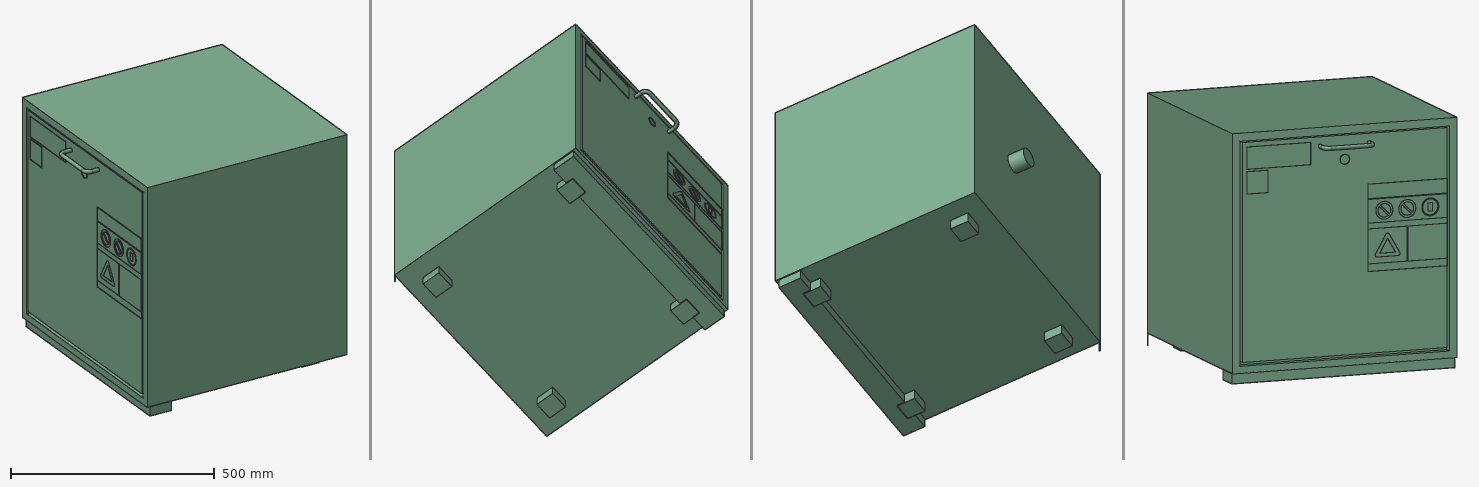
import cadquery as cq
import math


OVERALL_DEPTH = 658
WIDTH = 593.0
DEPTH = 574.0
TOTAL_HEIGHT = 631.0
FOOT_HEIGHT = 30.0
HOUSING_HEIGHT = TOTAL_HEIGHT - FOOT_HEIGHT
FRAME_SIDE = 20.5
FRAME_TOP = 20.5
FRAME_BOTTOM = 18.0

FOOT_SIDE = 50.0
FOOT_INSET = 50.0
PLINTH_HEIGHT = 27.0
PLINTH_DEPTH = 62.0
PLINTH_SIDE_INSET = 2.5
PLINTH_SETBACK = 9.0
STRIP_WIDTH = 1.0
STRIP_DEPTH = 2.5

PIPE_DIAMETER = 50.0
PIPE_LENGTH = 45.0
PIPE_X = 115.0
PIPE_Z = 295.5

DOOR_THICKNESS = 20.0
GAP_SIDE = 6.0
GAP_TOP = 3.0
GAP_BOTTOM = 9.0
LOCK_DIAMETER = 25.0
LOCK_RAISE = 2.0
LOCK_BELOW_TOP = 84.0

HANDLE_WIDTH = 139.5
HANDLE_REACH = OVERALL_DEPTH - DEPTH - PIPE_LENGTH
HANDLE_DIAMETER = 10.5
HANDLE_BEND_RADIUS = 15.0
HANDLE_BELOW_TOP = 47.5

LABEL_THICKNESS = 1.0
LABEL_INSET = 12.0
BRAND_WIDTH = 168.5
BRAND_HEIGHT = 56.0
BRAND_BELOW_TOP = 35.5
BADGE_SIDE = 56.0
BADGE_GAP = 6.0
SAFETY_WIDTH = 209.0
SAFETY_HEIGHT = 218.5
SAFETY_BELOW_TOP = 151.0

FIELD_RAISE = 0.5
FIELD_GAP = 2.0
HEADER_HEIGHT = 36.0
SIGN_ROW_HEIGHT = 59.0
TEXT_ROW_HEIGHT = 14.5
WARNING_HEIGHT = 87.5
WARNING_WIDTH = 103.0

SIGN_RAISE = 0.5
SIGN_DIAMETER = 45.0
BAN_INNER_DIAMETER = 33.5
KEEP_SHUT_INNER_DIAMETER = 40.0
SIGN_PITCH = 60.5
FIRST_SIGN_INSET = 43.0
BAN_BAR_WIDTH = 4.5
BAN_BAR_ANGLE = 45
DOOR_SYMBOL_WIDTH = 12.0
DOOR_SYMBOL_HEIGHT = 20.5
TRIANGLE_SIDE = 73.0
TRIANGLE_INNER_SIDE = 41.5
TRIANGLE_CORNER_RADIUS = 5.0
TRIANGLE_CENTER_RISE = 37.0

FRONT_Y = 0
TOP_Z = TOTAL_HEIGHT
LEFT_X = -WIDTH / 2
DOOR_WIDTH = WIDTH - 2 * (FRAME_SIDE + GAP_SIDE)
DOOR_LEFT = -DOOR_WIDTH / 2
DOOR_TOP = TOP_Z - FRAME_TOP - GAP_TOP
DOOR_BOTTOM = FOOT_HEIGHT + FRAME_BOTTOM + GAP_BOTTOM
BRAND_LEFT = DOOR_LEFT + LABEL_INSET
BRAND_TOP = TOP_Z - BRAND_BELOW_TOP
BADGE_TOP = BRAND_TOP - BRAND_HEIGHT - BADGE_GAP
SAFETY_LEFT = -DOOR_LEFT - SAFETY_WIDTH
SAFETY_TOP = TOP_Z - SAFETY_BELOW_TOP
LABEL_FACE_Y = FRONT_Y - LABEL_THICKNESS
FIELD_FACE_Y = LABEL_FACE_Y - FIELD_RAISE
SIGN_ROW_TOP = SAFETY_TOP - HEADER_HEIGHT - FIELD_GAP
WARNING_TOP = SIGN_ROW_TOP - SIGN_ROW_HEIGHT - TEXT_ROW_HEIGHT


def block(x, y, z, width, depth, height):
    """Box with its lowest corner at (x, y, z)."""
    return cq.Workplane("XY").box(width, depth, height, centered=False).translate((x, y, z))


def make_feet():
    """Four square feet, inset equally from all sides of the housing."""
    near_y = FRONT_Y + FOOT_INSET
    far_y = DEPTH - FOOT_INSET - FOOT_SIDE
    left_x = LEFT_X + FOOT_INSET
    right_x = -left_x - FOOT_SIDE
    return [
        block(x, y, 0, FOOT_SIDE, FOOT_SIDE, FOOT_HEIGHT)
        for x in (left_x, right_x)
        for y in (near_y, far_y)
    ]


def make_housing():
    housing = block(LEFT_X, FRONT_Y, FOOT_HEIGHT, WIDTH, DEPTH, HOUSING_HEIGHT)
    recess = block(
        LEFT_X + FRAME_SIDE, FRONT_Y, FOOT_HEIGHT + FRAME_BOTTOM,
        WIDTH - 2 * FRAME_SIDE, DOOR_THICKNESS, HOUSING_HEIGHT - FRAME_TOP - FRAME_BOTTOM,
    )
    plinth = block(
        LEFT_X + PLINTH_SIDE_INSET, FRONT_Y + PLINTH_SETBACK, FOOT_HEIGHT - PLINTH_HEIGHT,
        WIDTH - 2 * PLINTH_SIDE_INSET, PLINTH_DEPTH, PLINTH_HEIGHT,
    )
    strip = block(LEFT_X, DEPTH - STRIP_DEPTH, 0, STRIP_WIDTH, STRIP_DEPTH, FOOT_HEIGHT)
    pipe = (
        cq.Workplane("XZ", origin=(PIPE_X, DEPTH, PIPE_Z))
        .circle(PIPE_DIAMETER / 2)
        .extrude(-PIPE_LENGTH)
    )
    housing = housing.cut(recess).union(plinth).union(strip).union(pipe)
    for foot in make_feet():
        housing = housing.union(foot)
    return housing


def make_door():
    door = block(
        DOOR_LEFT, FRONT_Y, DOOR_BOTTOM, DOOR_WIDTH, DOOR_THICKNESS, DOOR_TOP - DOOR_BOTTOM
    )
    lock = (
        cq.Workplane("XZ", origin=(0, FRONT_Y, TOP_Z - LOCK_BELOW_TOP))
        .circle(LOCK_DIAMETER / 2)
        .extrude(LOCK_RAISE)
    )
    return door.union(lock)


def make_handle():
    leg_x = (HANDLE_WIDTH - HANDLE_DIAMETER) / 2
    bar_y = FRONT_Y - HANDLE_REACH + HANDLE_DIAMETER / 2
    bend_y = bar_y + HANDLE_BEND_RADIUS
    bar_x = leg_x - HANDLE_BEND_RADIUS
    bend_mid = HANDLE_BEND_RADIUS * math.sqrt(0.5)
    handle_z = TOP_Z - HANDLE_BELOW_TOP
    path = (
        cq.Workplane("XY", origin=(0, 0, handle_z))
        .moveTo(-leg_x, FRONT_Y)
        .lineTo(-leg_x, bend_y)
        .threePointArc((-bar_x - bend_mid, bend_y - bend_mid), (-bar_x, bar_y))
        .lineTo(bar_x, bar_y)
        .threePointArc((bar_x + bend_mid, bend_y - bend_mid), (leg_x, bend_y))
        .lineTo(leg_x, FRONT_Y)
    )
    return (
        cq.Workplane("XZ", origin=(-leg_x, FRONT_Y, handle_z))
        .circle(HANDLE_DIAMETER / 2)
        .sweep(path)
    )


def plate(left, top, width, height, back_y, thickness):
    """Upright plate whose rear face is at back_y, grown toward the front."""
    return block(left, back_y - thickness, top - height, width, thickness, height)


def sign_plane(x, z):
    """Workplane on the face of a field, facing the front."""
    return cq.Workplane("XZ", origin=(x, FIELD_FACE_Y, z))


def ring(x, z, inner_diameter):
    return (
        sign_plane(x, z)
        .circle(SIGN_DIAMETER / 2)
        .circle(inner_diameter / 2)
        .extrude(SIGN_RAISE)
    )


def ban_sign(x, z):
    bar_length = (SIGN_DIAMETER + BAN_INNER_DIAMETER) / 2
    bar = (
        sign_plane(x, z)
        .transformed(rotate=(0, 0, -BAN_BAR_ANGLE))
        .rect(bar_length, BAN_BAR_WIDTH)
        .extrude(SIGN_RAISE)
    )
    return ring(x, z, BAN_INNER_DIAMETER).union(bar)


def triangle(x, z, side):
    """Upright equilateral prism centred on (x, z)."""
    base_drop = side / (2 * math.sqrt(3))
    corners = [(-side / 2, -base_drop), (side / 2, -base_drop), (0, 2 * base_drop)]
    return sign_plane(x, z).polyline(corners).close().extrude(SIGN_RAISE)


def warning_sign(x, z):
    outer = triangle(x, z, TRIANGLE_SIDE).edges("|Y").fillet(TRIANGLE_CORNER_RADIUS)
    return outer.cut(triangle(x, z, TRIANGLE_INNER_SIDE))


def make_fields():
    number_left = SAFETY_LEFT + WARNING_WIDTH + FIELD_GAP
    number_width = SAFETY_WIDTH - WARNING_WIDTH - FIELD_GAP
    outlines = [
        (SAFETY_LEFT, SAFETY_TOP, SAFETY_WIDTH, HEADER_HEIGHT),
        (SAFETY_LEFT, SIGN_ROW_TOP, SAFETY_WIDTH, SIGN_ROW_HEIGHT),
        (SAFETY_LEFT, WARNING_TOP, WARNING_WIDTH, WARNING_HEIGHT),
        (number_left, WARNING_TOP, number_width, WARNING_HEIGHT),
    ]
    return [plate(*outline, LABEL_FACE_Y, FIELD_RAISE) for outline in outlines]


def make_signs():
    sign_z = SIGN_ROW_TOP - SIGN_ROW_HEIGHT / 2
    first_x = SAFETY_LEFT + FIRST_SIGN_INSET
    second_x = first_x + SIGN_PITCH
    third_x = second_x + SIGN_PITCH
    door_symbol = (
        sign_plane(third_x, sign_z)
        .rect(DOOR_SYMBOL_WIDTH, DOOR_SYMBOL_HEIGHT)
        .extrude(SIGN_RAISE)
    )
    warning_x = SAFETY_LEFT + WARNING_WIDTH / 2
    warning_z = WARNING_TOP - WARNING_HEIGHT + TRIANGLE_CENTER_RISE
    return [
        ban_sign(first_x, sign_z),
        ban_sign(second_x, sign_z),
        ring(third_x, sign_z, KEEP_SHUT_INNER_DIAMETER),
        door_symbol,
        warning_sign(warning_x, warning_z),
    ]


def make_brand_label():
    return plate(BRAND_LEFT, BRAND_TOP, BRAND_WIDTH, BRAND_HEIGHT, FRONT_Y, LABEL_THICKNESS)


def make_badge_label():
    return plate(BRAND_LEFT, BADGE_TOP, BADGE_SIDE, BADGE_SIDE, FRONT_Y, LABEL_THICKNESS)


def make_safety_label():
    label = plate(SAFETY_LEFT, SAFETY_TOP, SAFETY_WIDTH, SAFETY_HEIGHT, FRONT_Y, LABEL_THICKNESS)
    for relief in make_fields() + make_signs():
        label = label.union(relief)
    return label


housing = make_housing()
door = make_door()
handle = make_handle()
brand_label = make_brand_label()
badge_label = make_badge_label()
safety_label = make_safety_label()

result = cq.Compound.makeCompound([
    housing.val(),
    door.val(),
    handle.val(),
    brand_label.val(),
    badge_label.val(),
    safety_label.val(),
])